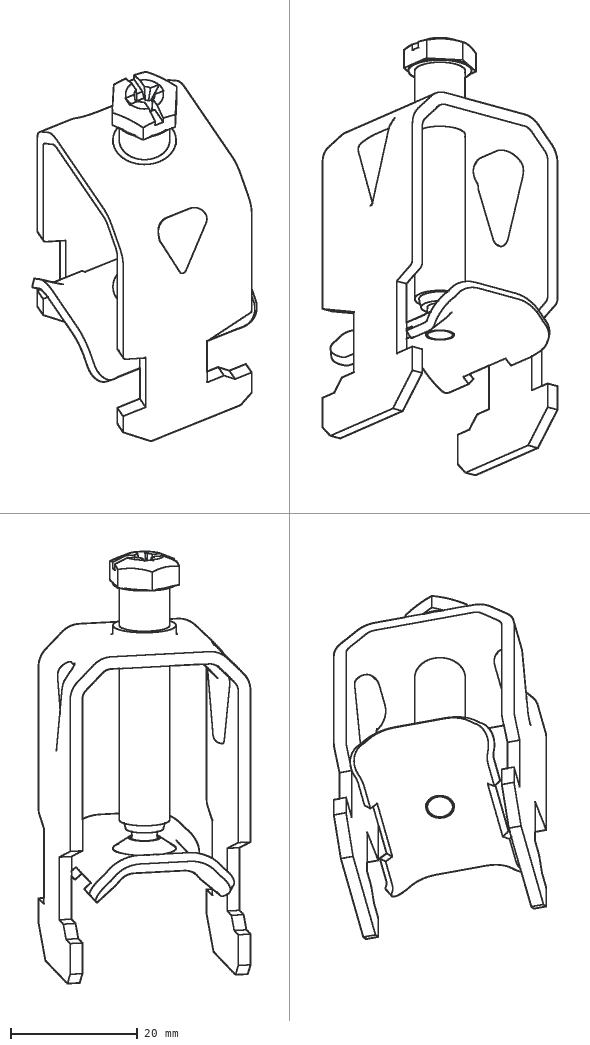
import cadquery as cq
import math

TOTAL_HEIGHT = 66.7

BRACKET_SPAN = 29.3
BRACKET_DEPTH = 23.0
BRACKET_TOP = 53.35
SHEET = 2.0
BEND_RADIUS = 4.0
BEND_ANGLE = 45.0
INCLINE_RISE = 2.7

NECK_BACK = 3.55
NECK_FRONT = -7.5
FOOT_TOP = 9.0
SHOULDER_BACK_LOW = 19.2
SHOULDER_BACK_HIGH = 22.0
SHOULDER_FRONT_LOW = 21.2
SHOULDER_FRONT_ANGLE = 25.0
SHOULDER_ROUND = 1.0
FOOT_STEP = 2.0
FOOT_STEP_START = 6.55
FOOT_BACK_CHAMFER = 2.0
FOOT_FRONT_CHAMFER = 5.0

COLLAR_DIAMETER = 10.0
COLLAR_HEIGHT = 2.0
COLLAR_FILLET = 1.0

DIMPLE_DEPTH = 1.5
DIMPLE_RIM_ROUND = 1.4
DIMPLE_TIP_RADIUS = 0.55
DIMPLE_TIP_Z = 37.0
DIMPLE_CORNER_RADIUS = 2.35
DIMPLE_CORNER_Y = 2.0
DIMPLE_CORNER_TURN = 21.0
BEAD_MARGIN = 1.0
BEAD_ROUND = 1.4

SHAFT_DIAMETER = 8.0
SHAFT_BOTTOM = 23.7
TIP_TOP_DIAMETER = 6.7
TIP_BOTTOM_DIAMETER = 6.0
TIP_BOTTOM = 22.3
NECK_DIAMETER = 4.0
HEAD_FLATS = 10.0
HEAD_HEIGHT = 4.35
HEAD_FLAT_TOP_DIAMETER = 6.0
HEAD_CHAMFER_ANGLE = 25.0
WASHER_FACE_HEIGHT = 0.2
SLOT_WIDTH = 1.5
SLOT_DEPTH = 1.95
CROSS_TOP_LENGTH = 6.15
CROSS_FLOOR_LENGTH = 3.15
CROSS_DEPTH = 3.0
CROSS_CORE_TOP_DIAMETER = 3.3
CROSS_CORE_FLOOR_DIAMETER = 2.7

SADDLE_DEPTH = 30.0
SADDLE_TOP = 19.1
SADDLE_SHEET = 1.5
CROWN_WIDTH = 8.15
CROWN_BEND_RADIUS = 4.5
INNER_WING_ANGLE = 48.0
INNER_WING_LENGTH = 0.8
WING_BEND_RADIUS = 2.7
OUTER_WING_ANGLE = 41.0
OUTER_WING_LENGTH = 3.8
LIP_ANGLE = 33.0
LIP_BEND_START = 9.95
LIP_BEND_RADIUS = 2.0
SADDLE_CORNER_RADIUS = 3.35
NOTCH_WIDTH = 10.8
NOTCH_DEPTH = 1.5
BOSS_BASE_DIAMETER = 10.0
BOSS_TOP_DIAMETER = 5.0
BOSS_HEIGHT = 1.75
BOSS_HOLE_DIAMETER = 4.5

HALF_SPAN = BRACKET_SPAN / 2
HALF_DEPTH = BRACKET_DEPTH / 2
BEND_SIN = math.sin(math.radians(BEND_ANGLE))
BEND_COS = math.cos(math.radians(BEND_ANGLE))
LOWER_BEND_X = HALF_SPAN - BEND_RADIUS
LOWER_BEND_Z = BRACKET_TOP - BEND_RADIUS - INCLINE_RISE
UPPER_BEND_X = LOWER_BEND_X - INCLINE_RISE
REACH = 2 * TOTAL_HEIGHT
TOUCH = 0.01
SKIN = 0.35


def on_circle(center_x, center_y, radius, degrees):
    angle = math.radians(degrees)
    return (center_x + radius * math.cos(angle), center_y + radius * math.sin(angle))


def bracket_block(inset):
    """Solid block filling the bracket's outline, `inset` below its outer surface."""
    radius = BEND_RADIUS - inset
    bevel = radius * math.tan(math.radians(BEND_ANGLE / 2))
    half_span = HALF_SPAN - inset
    shoulder = (half_span, LOWER_BEND_Z + bevel)
    crown = (UPPER_BEND_X + bevel, BRACKET_TOP - inset)
    points = [(half_span, 0), shoulder, crown]
    points += [(-x, z) for x, z in reversed(points)]
    block = cq.Workplane("XZ").polyline(points).close().extrude(HALF_DEPTH, both=True)
    return block.edges("|Y").edges("not <Z").fillet(radius)


def bracket_band(inset, thickness):
    """Layer of the bent sheet that starts `inset` below its outer surface."""
    return bracket_block(inset).cut(bracket_block(inset + thickness))


def leg_outline():
    """Prism along X with the side outline of both legs."""
    shoulder_run = HALF_DEPTH + NECK_FRONT
    shoulder_rise = shoulder_run * math.tan(math.radians(SHOULDER_FRONT_ANGLE))
    shoulder_front_high = SHOULDER_FRONT_LOW + shoulder_rise
    points = [
        (HALF_DEPTH, BRACKET_TOP),
        (HALF_DEPTH, SHOULDER_BACK_HIGH),
        (NECK_BACK, SHOULDER_BACK_LOW),
        (NECK_BACK, FOOT_TOP),
        (FOOT_STEP_START, FOOT_TOP),
        (FOOT_STEP_START + FOOT_STEP, FOOT_TOP - FOOT_STEP),
        (HALF_DEPTH, FOOT_TOP - FOOT_STEP),
        (HALF_DEPTH, FOOT_BACK_CHAMFER),
        (HALF_DEPTH - FOOT_BACK_CHAMFER, 0),
        (FOOT_FRONT_CHAMFER - HALF_DEPTH, 0),
        (-HALF_DEPTH, FOOT_FRONT_CHAMFER),
        (-HALF_DEPTH, FOOT_TOP),
        (NECK_FRONT, FOOT_TOP),
        (NECK_FRONT, SHOULDER_FRONT_LOW),
        (-HALF_DEPTH, shoulder_front_high),
        (-HALF_DEPTH, BRACKET_TOP),
    ]
    prism = cq.Workplane("YZ").polyline(points).close().extrude(HALF_SPAN, both=True)
    corner = cq.NearestToPointSelector((0, -HALF_DEPTH, shoulder_front_high))
    return prism.edges("|X").edges(corner).fillet(SHOULDER_ROUND)


def dimple_prism(margin, depth):
    """Dimple outline, enlarged by `margin`, as walls square to the -X leg and to its incline.

    The outline's rounded corners are placed on the bend as it runs `depth` below the outer surface.
    """
    bend_radius = BEND_RADIUS - depth
    tip_radius = DIMPLE_TIP_RADIUS + margin
    corner_radius = DIMPLE_CORNER_RADIUS + margin
    half_width = DIMPLE_CORNER_Y + corner_radius
    corner_z = on_circle(LOWER_BEND_X, LOWER_BEND_Z, bend_radius, BEND_ANGLE / 2)[1]
    center_rise = corner_z - DIMPLE_TIP_Z
    center_distance = math.hypot(DIMPLE_CORNER_Y, center_rise)
    lean = math.degrees(
        math.atan2(DIMPLE_CORNER_Y, center_rise)
        + math.asin((corner_radius - tip_radius) / center_distance)
    )

    def limb_corner(degrees):
        return on_circle(DIMPLE_CORNER_Y, corner_z, corner_radius, degrees)

    def opposite(point):
        return (-point[0], point[1])

    limb_bottom = on_circle(0, DIMPLE_TIP_Z, tip_radius, -lean)
    lower_part = (
        cq.Workplane("YZ")
        .moveTo(*limb_bottom)
        .lineTo(*limb_corner(-lean))
        .threePointArc(limb_corner(-lean / 2), limb_corner(0))
        .lineTo(half_width, BRACKET_TOP)
        .lineTo(-half_width, BRACKET_TOP)
        .lineTo(*opposite(limb_corner(0)))
        .threePointArc(opposite(limb_corner(-lean / 2)), opposite(limb_corner(-lean)))
        .lineTo(*opposite(limb_bottom))
        .threePointArc((0, DIMPLE_TIP_Z - tip_radius), limb_bottom)
        .close()
        .extrude(-REACH)
    )

    incline_start = on_circle(LOWER_BEND_X, LOWER_BEND_Z, BEND_RADIUS, BEND_ANGLE)
    incline = cq.Plane(
        origin=(-incline_start[0], 0, incline_start[1]),
        xDir=(0, -1, 0),
        normal=(-BEND_COS, 0, BEND_SIN),
    )
    corner_along = -bend_radius * math.sin(math.radians(DIMPLE_CORNER_TURN))
    top_along = corner_along + corner_radius
    round_middle = on_circle(DIMPLE_CORNER_Y, corner_along, corner_radius, 45)
    upper_part = (
        cq.Workplane(incline)
        .moveTo(half_width, -REACH)
        .lineTo(half_width, corner_along)
        .threePointArc(round_middle, (DIMPLE_CORNER_Y, top_along))
        .lineTo(-DIMPLE_CORNER_Y, top_along)
        .threePointArc(opposite(round_middle), (-half_width, corner_along))
        .lineTo(-half_width, -REACH)
        .close()
        .extrude(REACH, both=True)
    )
    return lower_part.intersect(upper_part)


def edges_between(body, first, second):
    """Edges of `body` whose middle touches both of the solids `first` and `second`."""
    found = []
    for edge in body.edges().vals():
        middle = cq.Vertex.makeVertex(*edge.positionAt(0.5).toTuple())
        if max(middle.distance(first.val()), middle.distance(second.val())) < TOUCH:
            found.append(edge)
    return body.newObject(found)


def dimple_bead():
    """Bulge that the dimple raises on the inside of the sheet."""
    layer = bracket_band(SHEET, DIMPLE_DEPTH)
    bulge = layer.intersect(dimple_prism(BEAD_MARGIN, SHEET + DIMPLE_DEPTH))
    around = layer.cut(bulge)
    beyond = bracket_band(SHEET + DIMPLE_DEPTH, SKIN)
    return edges_between(bulge, around, beyond).fillet(BEAD_ROUND)


def press_dimple(body):
    """Press a dimple into the -X corner of `body`."""
    hollow = bracket_band(0, DIMPLE_DEPTH).intersect(dimple_prism(0, DIMPLE_DEPTH))
    body = body.cut(hollow)
    outside = bracket_band(-SKIN, SKIN)
    body = edges_between(body, hollow, outside).fillet(DIMPLE_RIM_ROUND)
    return body.union(dimple_bead())


def collar():
    radius = COLLAR_DIAMETER / 2
    foot = radius + COLLAR_FILLET
    middle = on_circle(foot, BRACKET_TOP + COLLAR_FILLET, COLLAR_FILLET, 225)
    return (
        cq.Workplane("XZ")
        .moveTo(0, BRACKET_TOP)
        .lineTo(foot, BRACKET_TOP)
        .threePointArc(middle, (radius, BRACKET_TOP + COLLAR_FILLET))
        .lineTo(radius, BRACKET_TOP + COLLAR_HEIGHT)
        .lineTo(0, BRACKET_TOP + COLLAR_HEIGHT)
        .close()
        .revolve(360, (0, 0, 0), (0, 1, 0))
    )


def make_bracket():
    body = bracket_band(0, SHEET).intersect(leg_outline())
    for _side in ("-X", "+X"):
        body = press_dimple(body).mirror("YZ")
    hole = cq.Workplane("XY").circle(SHAFT_DIAMETER / 2).extrude(TOTAL_HEIGHT)
    return body.union(collar()).cut(hole)


def screw_head():
    flats_radius = HEAD_FLATS / 2
    corner_radius = flats_radius / math.cos(math.radians(30))
    hexagon = (
        cq.Workplane("XY", origin=(0, 0, TOTAL_HEIGHT - HEAD_HEIGHT))
        .polygon(6, 2 * corner_radius)
        .extrude(HEAD_HEIGHT)
        .rotate((0, 0, 0), (0, 0, 1), 30)
    )
    flat_radius = HEAD_FLAT_TOP_DIAMETER / 2
    chamfer_drop = (corner_radius - flat_radius) * math.tan(math.radians(HEAD_CHAMFER_ANGLE))
    envelope = (
        cq.Workplane("XZ")
        .polyline([
            (0, 0),
            (corner_radius, 0),
            (corner_radius, TOTAL_HEIGHT - chamfer_drop),
            (flat_radius, TOTAL_HEIGHT),
            (0, TOTAL_HEIGHT),
        ])
        .close()
        .revolve(360, (0, 0, 0), (0, 1, 0))
    )
    return hexagon.intersect(envelope)


def screw_shank():
    head_bottom = TOTAL_HEIGHT - HEAD_HEIGHT
    washer_bottom = head_bottom - WASHER_FACE_HEIGHT
    return (
        cq.Workplane("XZ")
        .polyline([
            (0, SADDLE_TOP - SADDLE_SHEET),
            (NECK_DIAMETER / 2, SADDLE_TOP - SADDLE_SHEET),
            (NECK_DIAMETER / 2, TIP_BOTTOM),
            (TIP_BOTTOM_DIAMETER / 2, TIP_BOTTOM),
            (TIP_TOP_DIAMETER / 2, SHAFT_BOTTOM),
            (SHAFT_DIAMETER / 2, SHAFT_BOTTOM),
            (SHAFT_DIAMETER / 2, washer_bottom),
            (HEAD_FLATS / 2, washer_bottom),
            (HEAD_FLATS / 2, head_bottom),
            (0, head_bottom),
        ])
        .close()
        .revolve(360, (0, 0, 0), (0, 1, 0))
    )


def cross_recess():
    floor = TOTAL_HEIGHT - CROSS_DEPTH
    arm = (
        cq.Workplane("XZ")
        .polyline([
            (-CROSS_TOP_LENGTH / 2, TOTAL_HEIGHT),
            (CROSS_TOP_LENGTH / 2, TOTAL_HEIGHT),
            (CROSS_FLOOR_LENGTH / 2, floor),
            (-CROSS_FLOOR_LENGTH / 2, floor),
        ])
        .close()
        .extrude(SLOT_WIDTH / 2, both=True)
    )
    core = (
        cq.Workplane("XY", origin=(0, 0, floor))
        .circle(CROSS_CORE_FLOOR_DIAMETER / 2)
        .workplane(offset=CROSS_DEPTH)
        .circle(CROSS_CORE_TOP_DIAMETER / 2)
        .loft()
    )
    return arm.union(arm.rotate((0, 0, 0), (0, 0, 1), 90)).union(core)


def make_screw():
    slot = cq.Workplane("XY", origin=(0, 0, TOTAL_HEIGHT)).box(REACH, SLOT_WIDTH, 2 * SLOT_DEPTH)
    return screw_shank().union(screw_head()).cut(slot).cut(cross_recess())


def saddle_half_section():
    """+Y half of the cross-section: flat sheet whose edge turns up into a lip."""
    lean = math.radians(LIP_ANGLE)
    bend_center_z = SADDLE_TOP + LIP_BEND_RADIUS
    saddle_bottom = SADDLE_TOP - SADDLE_SHEET
    lower_edge_y = SADDLE_DEPTH / 2
    upper_edge_y = lower_edge_y - SADDLE_SHEET * math.sin(lean)

    def on_bend(radius, turn):
        return on_circle(LIP_BEND_START, bend_center_z, radius, turn - 90)

    upper_bend_y, upper_bend_z = on_bend(LIP_BEND_RADIUS, LIP_ANGLE)
    upper_edge_z = upper_bend_z + (upper_edge_y - upper_bend_y) * math.tan(lean)
    lower_edge_z = upper_edge_z - SADDLE_SHEET * math.cos(lean)
    lower_radius = LIP_BEND_RADIUS + SADDLE_SHEET
    return (
        cq.Workplane("YZ")
        .moveTo(0, SADDLE_TOP)
        .lineTo(LIP_BEND_START, SADDLE_TOP)
        .threePointArc(on_bend(LIP_BEND_RADIUS, LIP_ANGLE / 2), (upper_bend_y, upper_bend_z))
        .lineTo(upper_edge_y, upper_edge_z)
        .lineTo(lower_edge_y, lower_edge_z)
        .lineTo(*on_bend(lower_radius, LIP_ANGLE))
        .threePointArc(on_bend(lower_radius, LIP_ANGLE / 2), (LIP_BEND_START, saddle_bottom))
        .lineTo(0, saddle_bottom)
        .close()
    )


def saddle_quarter():
    """+X +Y quarter of the bent plate, with its rounded corner and half a notch."""
    crown_edge = CROWN_WIDTH / 2
    crown_center = (crown_edge, SADDLE_TOP - CROWN_BEND_RADIUS)
    middle_angle = (INNER_WING_ANGLE + OUTER_WING_ANGLE) / 2
    crown_bend_middle = on_circle(*crown_center, CROWN_BEND_RADIUS, 90 - INNER_WING_ANGLE / 2)
    crown_bend_end = on_circle(*crown_center, CROWN_BEND_RADIUS, 90 - INNER_WING_ANGLE)
    wing_bend_start = on_circle(*crown_bend_end, INNER_WING_LENGTH, -INNER_WING_ANGLE)
    wing_center = on_circle(*wing_bend_start, WING_BEND_RADIUS, 90 - INNER_WING_ANGLE)
    wing_bend_middle = on_circle(*wing_center, WING_BEND_RADIUS, 270 - middle_angle)
    wing_bend_end = on_circle(*wing_center, WING_BEND_RADIUS, 270 - OUTER_WING_ANGLE)
    wing_end = on_circle(*wing_bend_end, OUTER_WING_LENGTH, -OUTER_WING_ANGLE)
    path = (
        cq.Workplane("XZ")
        .moveTo(0, SADDLE_TOP)
        .lineTo(crown_edge, SADDLE_TOP)
        .threePointArc(crown_bend_middle, crown_bend_end)
        .lineTo(*wing_bend_start)
        .threePointArc(wing_bend_middle, wing_bend_end)
        .lineTo(*wing_end)
    )
    quarter = saddle_half_section().sweep(path)

    quarter = quarter.faces(">X").edges(">Y").fillet(SADDLE_CORNER_RADIUS)

    along_x, along_z = on_circle(0, 0, 1, -OUTER_WING_ANGLE)
    end_plane = cq.Plane(
        origin=(wing_end[0], 0, wing_end[1]),
        xDir=(0, 1, 0),
        normal=(along_x, 0, along_z),
    )
    notch = cq.Workplane(end_plane).box(NOTCH_WIDTH, 4 * SADDLE_SHEET, 2 * NOTCH_DEPTH)
    return quarter.cut(notch)


def saddle_boss():
    """Cone that rises from the crown around the screw neck."""
    return (
        cq.Workplane("XY", origin=(0, 0, SADDLE_TOP - SADDLE_SHEET))
        .circle(BOSS_BASE_DIAMETER / 2)
        .extrude(SADDLE_SHEET)
        .faces(">Z")
        .workplane()
        .circle(BOSS_BASE_DIAMETER / 2)
        .workplane(offset=BOSS_HEIGHT)
        .circle(BOSS_TOP_DIAMETER / 2)
        .loft()
    )


def make_saddle():
    quarter = saddle_quarter()
    half = quarter.union(quarter.mirror("XZ"))
    hole = cq.Workplane("XY").circle(BOSS_HOLE_DIAMETER / 2).extrude(TOTAL_HEIGHT)
    return half.union(half.mirror("YZ")).union(saddle_boss()).cut(hole)


bracket = make_bracket()
screw = make_screw()
saddle = make_saddle()
result = cq.Compound.makeCompound([bracket.val(), screw.val(), saddle.val()])